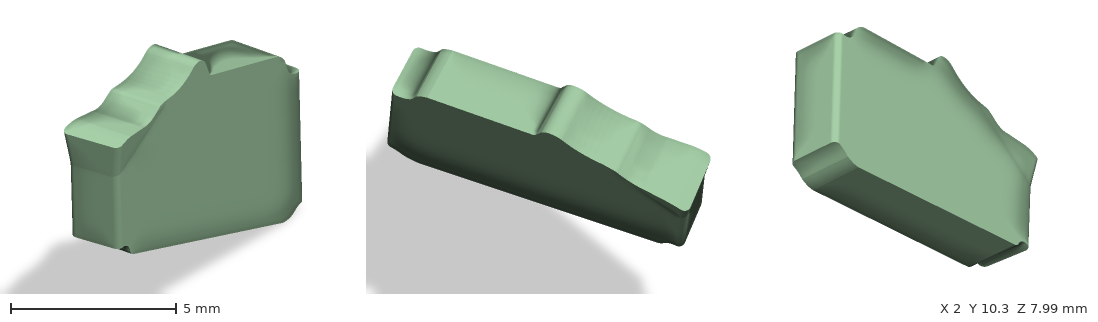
import cadquery as cq
import math

body_width = 1.71
head_width = 2.0
corner_radius = 0.2
lead_angle = 5.0
relief_angle = 7.75
plan_taper_angle = 3.5
height = 7.99
length = 10.32

front_margin = 0.5
side_margin = 0.2
head_margin = 2.0
stock_size = 4 * length

square = 0.0
bump_skew = 0.25
rake_skew = 0.5
nose_skew = 0.75
full_skew = 1.0

tip = (0.0, 7.18, full_skew)
head_foot = (0.137, 6.04, full_skew)
front_foot = (0.245, 3.45, full_skew)
nose_end = (0.22, 7.23, nose_skew)
rear_foot = (length, 0.25, square)
rear_top = (10.15, 4.94, square)

outline_steps = [
    [front_foot],
    [(0.53, front_foot[1], full_skew)],
    [(0.78, 3.32, nose_skew), (0.90, 3.13, rake_skew)],
    [(1.00, 3.01, bump_skew), (1.18, 2.92, square)],
    [(9.13, 0.03, square)],
    [(9.36, 0.0, square), (9.69, 0.06, square)],
    [(9.82, 0.14, square)],
    [(10.02, 0.23, square), rear_foot],
    [rear_top],
    [(9.95, 4.95, square)],
    [(9.58, 5.09, square), (9.36, 5.41, square)],
    [(9.26, 5.70, square)],
    [(9.12, 5.87, square), (8.89, 6.04, square)],
    [(5.33, 7.17, square)],
    [(5.25, 7.22, square), (5.19, 7.34, square)],
    [(5.02, 7.74, square)],
    [(4.59, height, square), (4.32, 7.91, bump_skew)],
    [(3.73, 7.59, bump_skew), (3.11, 7.49, rake_skew)],
    [(2.58, 7.49, rake_skew)],
    [(2.48, 7.47, rake_skew), (2.39, 7.42, rake_skew)],
    [(2.11, 7.26, rake_skew)],
    [(1.80, 7.17, rake_skew), (1.52, 7.196, rake_skew)],
    [(0.75, 7.29, rake_skew)],
    [(0.50, 7.285, nose_skew), nose_end],
]

head_rear = (2.92, 7.37)
head_front = (0.34, 6.06)


def place(point, x):
    """Outline point on the plane at x, moved back by its share of the lead angle."""
    y, z, share = point
    foremost_x = corner_radius - head_width / 2
    return cq.Vector(x, y + (x - foremost_x) * math.tan(math.radians(share * lead_angle)), z)


def outline_wire(x):
    """Closed outline at x, its nose and foot reaching ahead of the front faces."""
    nose_slope = (nose_end[1] - tip[1]) / (nose_end[0] - tip[0])
    upper_start = place((-front_margin, tip[1] - nose_slope * front_margin, full_skew), x)
    start = place((-front_margin, front_foot[1], full_skew), x)
    edges = [cq.Edge.makeLine(upper_start, start)]
    for step in outline_steps:
        points = [place(point, x) for point in step]
        if len(points) == 1:
            edges.append(cq.Edge.makeLine(start, points[0]))
        else:
            edges.append(cq.Edge.makeThreePointArc(start, points[0], points[1]))
        start = points[-1]
    edges.append(cq.Edge.makeLine(start, upper_start))
    return cq.Wire.assembleEdges(edges)


def skewed_blank():
    """Full outline across the head width, ruled between its two skewed ends."""
    half = head_width / 2 + side_margin
    return cq.Workplane(cq.Solid.makeLoft([outline_wire(-half), outline_wire(half)], True))


def head_space():
    """Space for the head: above the relief line, widening upward and toward the tip."""
    forward_run = head_rear[0] - head_front[0]
    drop = head_rear[1] - head_front[1]
    rise = math.atan2(drop, forward_run)
    run = math.hypot(drop, forward_run)
    half = body_width / 2
    along = cq.Vector(0, math.cos(rise), math.sin(rise))
    spread = head_margin * math.tan(math.radians(relief_angle))
    relief_origin = cq.Vector(0, *head_front) - along * head_margin
    relief_plane = cq.Plane(origin=relief_origin, xDir=(-1, 0, 0), normal=along)
    relief = (
        cq.Workplane(relief_plane)
        .polyline([(-half, 0), (half, 0), (half + spread, head_margin), (-half - spread, head_margin)])
        .close()
        .extrude(run + 2 * head_margin)
    )
    taper_run = head_rear[0] + head_margin
    taper = taper_run * math.tan(math.radians(plan_taper_angle))
    plan = (
        cq.Workplane("XY")
        .polyline([(-half, head_rear[0]), (half, head_rear[0]),
                   (half + taper, -head_margin), (-half - taper, -head_margin)])
        .close()
        .extrude(height + head_margin)
    )
    return relief.intersect(plan)


def round_side_corners(solid, face_selector):
    """Round the two tallest edges, the side corners, of the selected end face."""
    end_edges = solid.faces(face_selector).edges().vals()
    side_corners = sorted(end_edges, key=lambda edge: edge.BoundingBox().zlen)[-2:]
    return solid.newObject(side_corners).fillet(corner_radius)


def with_front_face(solid, lower, upper):
    """Trim the solid to the front face through two points and round that face's side corners."""
    foot = place(lower, 0)
    up = place(upper, 0) - foot
    across = place(lower, 1) - foot
    face_plane = cq.Plane(origin=foot, xDir=across, normal=up.cross(across))
    behind = cq.Workplane(face_plane).rect(stock_size, stock_size).extrude(stock_size)
    trimmed = solid.intersect(behind)
    return round_side_corners(trimmed, "<Y")


def width_envelope():
    """Plain-width body joined to the wider head, both with rounded front corners."""
    body = cq.Workplane("XY").box(body_width, stock_size, stock_size)
    body = with_front_face(body, front_foot, head_foot)
    head = with_front_face(head_space(), head_foot, tip)
    return body.union(head)


blank = skewed_blank().intersect(width_envelope())
result = round_side_corners(blank, ">Y")